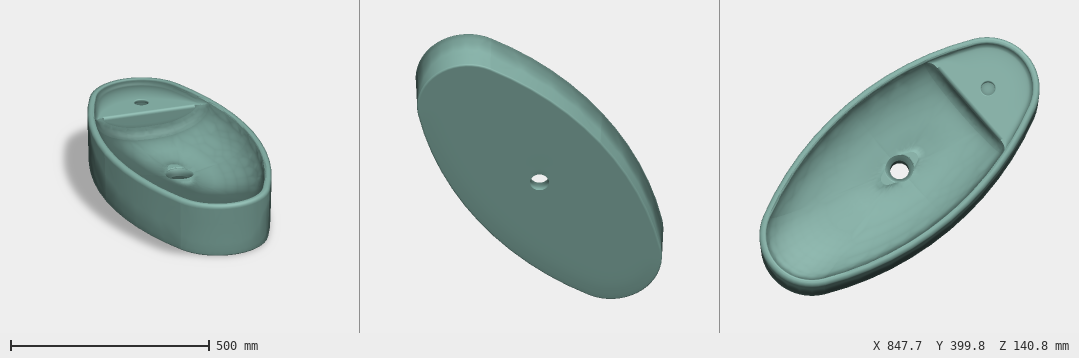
import cadquery as cq
import math

LENGTH = 848.27
WIDTH = 400.35
HEIGHT = 140.8
END_RADIUS = 133.0
WALL_DRAFT = 4.0
RIM_OUTER_ROUND = 10.0
FOOT_ROUND = 5.0

RIM_WIDTH = 18.0
RIM_INNER_ROUND = 5.0
DECK_DEPTH = 15.0
DECK_EDGE_X = -231.0
DECK_EDGE_ROUND = 8.0
DECK_EDGE_ROUND_LENGTH = 244.0
DECK_BORDER_ROUND = 9.0

BOWL_FLOOR_Z = 52.0
BOWL_FULLNESS = 2.3
BOWL_SECTIONS = 8
BOWL_FLAT_ANGLE = math.radians(6)
BOWL_WALL_ROUND = 25.0

DRAIN_DIAMETER = 48.0
DRAIN_SEAT_DIAMETER = 70.0
DRAIN_SEAT_DEPTH = 18.0
DRAIN_EDGE_ROUND = 3.0

TAP_DIAMETER = 35.0
TAP_X = -294.0
TAP_DEPTH = 8.0
TAP_EDGE_ROUND = 3.0

deck_z = HEIGHT - DECK_DEPTH
bowl_mouth_z = HEIGHT - RIM_INNER_ROUND
side_radius = ((LENGTH**2 + WIDTH**2) / 4 - LENGTH * END_RADIUS) / (WIDTH - 2 * END_RADIUS)
end_centre_x = LENGTH / 2 - END_RADIUS
side_centre_y = side_radius - WIDTH / 2
joint_angle = math.atan2(side_centre_y, end_centre_x)


def oval(z, inset=0.0, scale=1.0):
    """Closed oval at height z: the outer outline moved inwards by inset, then scaled about Z."""
    end_radius = END_RADIUS - inset
    half_length = LENGTH / 2 - inset
    half_width = WIDTH / 2 - inset
    joint_x = end_centre_x + end_radius * math.cos(joint_angle)
    joint_y = end_radius * math.sin(joint_angle)
    side_angle = (joint_angle + math.pi / 2) / 2
    side_x = (side_radius - inset) * math.cos(side_angle)
    side_y = (side_radius - inset) * math.sin(side_angle) - side_centre_y

    def at(x, y):
        return (scale * x, scale * y)

    return (
        cq.Workplane("XY", origin=(0, 0, z))
        .moveTo(*at(0, half_width))
        .threePointArc(at(side_x, side_y), at(joint_x, joint_y))
        .threePointArc(at(half_length, 0), at(joint_x, -joint_y))
        .threePointArc(at(side_x, -side_y), at(0, -half_width))
        .threePointArc(at(-side_x, -side_y), at(-joint_x, -joint_y))
        .threePointArc(at(-half_length, 0), at(-joint_x, joint_y))
        .threePointArc(at(-side_x, side_y), at(0, half_width))
        .close()
    )


def loft_between(outlines, ruled=False):
    wires = [outline.val() for outline in outlines]
    return cq.Workplane(cq.Solid.makeLoft(wires, ruled))


def make_body():
    body = loft_between([oval(0, inset=WALL_DRAFT), oval(HEIGHT)], ruled=True)
    return body.faces(">Z").edges().fillet(RIM_OUTER_ROUND).faces("<Z").edges().fillet(FOOT_ROUND)


def make_deck_recess():
    """Space over the deck, rounded where the deck meets the rim wall."""
    recess = oval(deck_z, inset=RIM_WIDTH).extrude(DECK_DEPTH)
    return recess.faces("<Z").edges().fillet(DECK_BORDER_ROUND)


def round_inner_rim(body):
    inner_rim = body.faces(">Z").val().innerWires()[0]
    return body.newObject(inner_rim.Edges()).fillet(RIM_INNER_ROUND)


def make_bowl():
    """Bowl below the rim round, cut off by the deck wall, which has a rounded foot."""
    power = 2 / BOWL_FULLNESS
    depth = bowl_mouth_z - BOWL_FLOOR_Z
    sections = []
    for step in range(BOWL_SECTIONS):
        angle = BOWL_FLAT_ANGLE + (math.pi / 2 - BOWL_FLAT_ANGLE) * step / (BOWL_SECTIONS - 1)
        scale = math.sin(angle) ** power
        drop = depth * max(math.cos(angle), 0) ** power
        sections.append(oval(bowl_mouth_z - drop, inset=RIM_WIDTH, scale=scale))
    basin_side = (
        cq.Workplane("XY")
        .box(LENGTH, WIDTH, HEIGHT, centered=(False, True, False))
        .translate((DECK_EDGE_X, 0, 0))
    )
    bowl = loft_between(sections).intersect(basin_side)
    return bowl.faces("<X").edges("not(>Z)").fillet(BOWL_WALL_ROUND)


def make_deck_edge_round():
    """Sliver that rounds the straight edge between the deck and the bowl."""
    return (
        cq.Workplane("XZ", origin=(DECK_EDGE_X, DECK_EDGE_ROUND_LENGTH / 2, deck_z))
        .moveTo(-DECK_EDGE_ROUND, 0)
        .radiusArc((0, -DECK_EDGE_ROUND), DECK_EDGE_ROUND)
        .lineTo(0, 0)
        .close()
        .extrude(DECK_EDGE_ROUND_LENGTH)
    )


def make_drain():
    """Through hole with a conical seat whose upper edge flares into the bowl."""
    hole_radius = DRAIN_DIAMETER / 2
    seat_radius = DRAIN_SEAT_DIAMETER / 2
    seat_z = BOWL_FLOOR_Z - DRAIN_SEAT_DEPTH
    return (
        cq.Workplane("XZ")
        .lineTo(hole_radius, 0)
        .lineTo(hole_radius, seat_z)
        .lineTo(seat_radius, BOWL_FLOOR_Z - DRAIN_EDGE_ROUND)
        .radiusArc((seat_radius + DRAIN_EDGE_ROUND, BOWL_FLOOR_Z), DRAIN_EDGE_ROUND)
        .lineTo(seat_radius + DRAIN_EDGE_ROUND, deck_z)
        .lineTo(0, deck_z)
        .close()
        .revolve(360, (0, 0, 0), (0, 1, 0))
    )


def make_tap_hole():
    """Blind hole with a rounded mouth."""
    hole_radius = TAP_DIAMETER / 2
    return (
        cq.Workplane("XZ", origin=(TAP_X, 0, deck_z))
        .moveTo(0, -TAP_DEPTH)
        .lineTo(hole_radius, -TAP_DEPTH)
        .lineTo(hole_radius, -TAP_EDGE_ROUND)
        .radiusArc((hole_radius + TAP_EDGE_ROUND, 0), TAP_EDGE_ROUND)
        .lineTo(0, 0)
        .close()
        .revolve(360, (0, 0, 0), (0, 1, 0))
    )


result = round_inner_rim(make_body().cut(make_deck_recess()))
for cutter in (make_bowl(), make_deck_edge_round(), make_drain(), make_tap_hole()):
    result = result.cut(cutter)